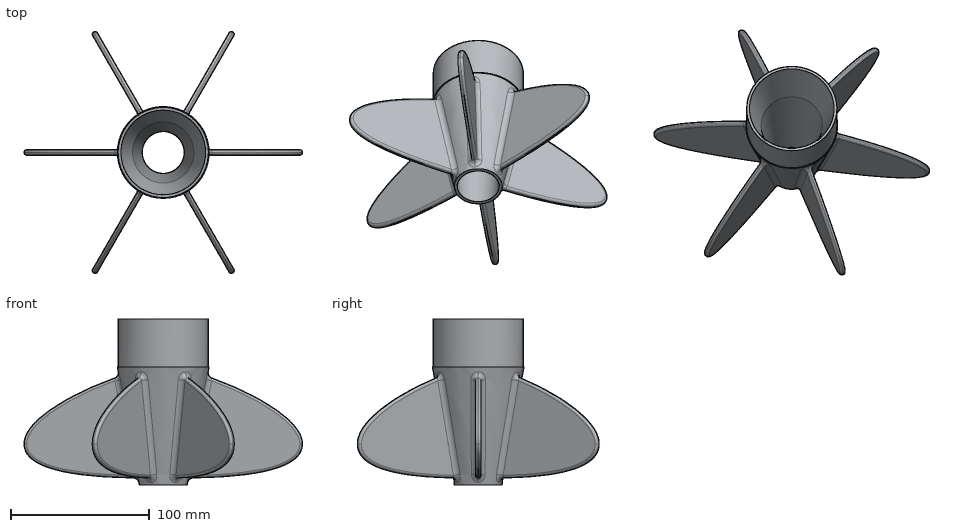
import cadquery as cq
import math

total_height = 120.0
body_height = 85.2
collar_radius = 65.0 / 2
body_top_radius = 33.1
body_bottom_radius = 17.3
mouth_radius = 30.5
throat_radius = 22.0
outlet_radius = 30.1 / 2

blade_count = 6
tip_radius = 100.5
tip_height = 29.7
blade_thickness = 4.0
rim_radius = 1.9
root_fillet = 4.0

root_top = (26.0, 80.3)
root_bottom = (12.0, 5.0)
tip = (tip_radius, tip_height)
upper_controls = [(61.9, 68.9), (tip_radius, 47.8)]
lower_controls = [(tip_radius, 13.0), (70.7, root_bottom[1])]


def make_hub():
    """Solid of revolution about Z, without its bore."""
    profile = [
        (0, 0),
        (body_bottom_radius, 0),
        (body_top_radius, body_height),
        (collar_radius, body_height),
        (collar_radius, total_height),
        (0, total_height),
    ]
    return cq.Workplane("XZ").polyline(profile).close().revolve(360, (0, 0), (0, 1))


def make_bore():
    """Two cones that narrow from the collar mouth to the outlet."""
    profile = [
        (0, 0),
        (outlet_radius, 0),
        (throat_radius, body_height),
        (mouth_radius, total_height),
        (0, total_height),
    ]
    return cq.Workplane("XZ").polyline(profile).close().revolve(360, (0, 0), (0, 1))


def make_blade():
    """Blade standing in the XZ plane and pointing along +X, with a rounded rim."""
    blade = (
        cq.Workplane("XZ")
        .moveTo(*root_top)
        .bezier([root_top, *upper_controls, tip])
        .bezier([tip, *lower_controls, root_bottom])
        .close()
        .extrude(blade_thickness / 2, both=True)
    )
    return blade.faces("<Y or >Y").edges("not %LINE").fillet(rim_radius)


def is_root_edge(edge):
    """True for the edges where a blade meets the tapered body."""
    middle = edge.Center()
    near_axis = math.hypot(middle.x, middle.y) < body_top_radius
    return near_axis and edge.geomType() != "LINE" and 0 < middle.z < root_top[1]


rotor = make_hub().rotate((0, 0, 0), (0, 0, 1), 180 / blade_count)
blade = make_blade()
for index in range(blade_count):
    rotor = rotor.union(blade.rotate((0, 0, 0), (0, 0, 1), 360 / blade_count * index))

result = rotor.edges().filter(is_root_edge).fillet(root_fillet).cut(make_bore())